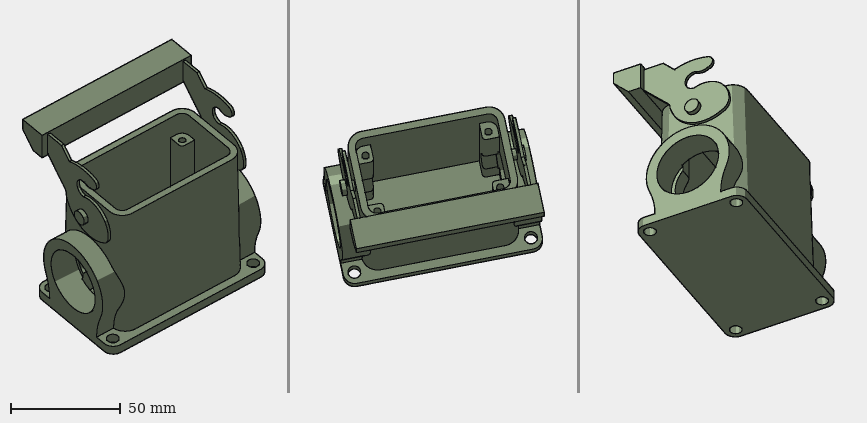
import cadquery as cq
import math

base_length = 92.5
base_width = 55.8
base_height = 4.8
base_corner_radius = 5.3
mounting_hole_diameter = 5.8
mounting_hole_x = 22.4
mounting_hole_y = 41.0

shell_length = 72.8
shell_foot_width = 47.4
shell_rim_width = 43.2
shell_height = 74.1
taper_top = 68.4
shell_corner_radius = 7.5
rim_wall = 3.4

entry_height = 26.9
entry_outer_radius = 21.5
entry_bore_radius = 16.0
entry_bore_depth = 13.9
entry_foot_half_width = 17.0

post_inner_x = 10.1
post_inner_y = 25.3
post_top = 62.0
post_corner_radius = 1.7
post_bore_radius = 14.0
screw_x = 13.6
screw_y = 28.6
screw_diameter = 3.3
screw_depth = 9.7

grip_length = 87.3
overall_width = 67.8
grip_back = base_width / 2 - overall_width
grip_front = -25.75
grip_top = 96.8
grip_bottom = 83.1
grip_chamfer = 7.7
arm_thickness = 1.5
arm_inner_y = 38.9
arm_root_bottom = 83.7
arm_root_top = 95.7
pivot_height = 63.7
pin_neck_diameter = 5.1
pin_head_diameter = 7.2
pin_head_end_y = 42.7

shoulder = (-15.8, arm_root_top)
finger_root = (-10.1, 89.9)
finger_crest = (0.6, 91.9)
finger_tip_top = (7.1, 91.0)
finger_tip = (9.7, 87.8)
finger_tip_bottom = (7.2, 84.8)
finger_underside = (3.1, 83.9)
notch_top = (0.8, 84.7)
notch_back = (-4.55, 80.15)
notch_bottom = (0.2, 75.5)
cam_shoulder = (12.6, 74.15)
cam_nose_top = (18.1, 63.4)
cam_nose = (17.2, 59.7)
cam_nose_bottom = (14.2, 57.2)
cam_belly = (-2.4, 56.2)
cam_heel = (-12.4, 68.2)
cam_heel_bend = (-12.9, 70.7)
arm_underside_end = (-14.2, 72.2)

cavity_width = shell_rim_width - 2 * rim_wall
cavity_length = shell_length - 2 * rim_wall
cavity_end_y = cavity_length / 2
sides = (-1, 1)


def make_shell_block():
    """Solid shell with sloping long sides, a straight rim band and rounded upright corners."""
    foot = shell_foot_width / 2
    rim = shell_rim_width / 2
    return (
        cq.Workplane("XZ")
        .moveTo(-foot, base_height)
        .lineTo(foot, base_height)
        .lineTo(rim, taper_top)
        .lineTo(rim, shell_height)
        .lineTo(-rim, shell_height)
        .lineTo(-rim, taper_top)
        .close()
        .extrude(shell_length / 2, both=True)
        .edges("not #Z")
        .fillet(shell_corner_radius)
    )


def make_cavity():
    """Straight-sided cavity from the base plate up through the rim."""
    return (
        cq.Workplane("XY", origin=(0, 0, base_height))
        .rect(cavity_width, cavity_length)
        .extrude(shell_height - base_height)
        .edges("|Z")
        .fillet(shell_corner_radius - rim_wall)
    )


def make_base():
    return (
        cq.Workplane("XY")
        .rect(base_width, base_length)
        .extrude(base_height)
        .edges("|Z")
        .fillet(base_corner_radius)
    )


def make_entry_boss(side):
    """Round boss whose flanks sweep down through tangent arcs to a narrower foot."""
    drop = entry_height - base_height
    foot = entry_foot_half_width
    flank_radius = (foot**2 + drop**2 - entry_outer_radius**2) / (2 * (entry_outer_radius - foot))
    tangent_angle = math.asin(drop / (entry_outer_radius + flank_radius))
    tangent_x = entry_outer_radius * math.cos(tangent_angle)
    tangent_z = entry_height - entry_outer_radius * math.sin(tangent_angle)
    middle_x = foot + flank_radius * (1 - math.cos(tangent_angle / 2))
    middle_z = base_height + flank_radius * math.sin(tangent_angle / 2)
    outline = (
        cq.Workplane("XZ", origin=(0, side * cavity_end_y, 0))
        .moveTo(-foot, 0)
        .lineTo(foot, 0)
        .lineTo(foot, base_height)
        .threePointArc((middle_x, middle_z), (tangent_x, tangent_z))
        .threePointArc((0, entry_height + entry_outer_radius), (-tangent_x, tangent_z))
        .threePointArc((-middle_x, middle_z), (-foot, base_height))
        .close()
    )
    return outline.extrude(-side * (base_length / 2 - cavity_end_y))


def make_entry_bore(side):
    """Cable entry bore running through the wall and just into the posts behind it."""
    return (
        cq.Workplane("XZ", origin=(0, side * base_length / 2, entry_height))
        .circle(entry_bore_radius)
        .extrude(side * entry_bore_depth)
    )


def make_posts(cavity):
    """Four screw posts filling the cavity corners, notched by the passing cable bore."""
    post_length = cavity_end_y - post_inner_y
    post_width = cavity_width / 2 - post_inner_x
    posts = (
        cq.Workplane("XY", origin=(0, 0, base_height))
        .pushPoints([
            (sx * (post_inner_x + post_width / 2), sy * (post_inner_y + post_length / 2))
            for sx in sides
            for sy in sides
        ])
        .rect(post_width, post_length)
        .extrude(post_top - base_height)
    )
    for sx in sides:
        for sy in sides:
            inner_edge = cq.selectors.NearestToPointSelector(
                (sx * post_inner_x, sy * post_inner_y, (base_height + post_top) / 2)
            )
            posts = posts.edges(inner_edge).fillet(post_corner_radius)
    cable_bore = (
        cq.Workplane("XZ", origin=(0, 0, entry_height))
        .circle(post_bore_radius)
        .extrude(cavity_end_y, both=True)
    )
    screw_holes = (
        cq.Workplane("XY", origin=(0, 0, post_top))
        .rect(2 * screw_x, 2 * screw_y, forConstruction=True)
        .vertices()
        .circle(screw_diameter / 2)
        .extrude(-screw_depth)
    )
    return posts.intersect(cavity).cut(cable_bore).cut(screw_holes)


def make_housing():
    cavity = make_cavity()
    body = make_base().union(make_shell_block())
    for side in sides:
        body = body.union(make_entry_boss(side))
    body = body.cut(cavity).union(make_posts(cavity))
    for side in sides:
        body = body.cut(make_entry_bore(side))
    mounting_holes = (
        cq.Workplane("XY")
        .rect(2 * mounting_hole_x, 2 * mounting_hole_y, forConstruction=True)
        .vertices()
        .circle(mounting_hole_diameter / 2)
        .extrude(base_height)
    )
    return body.cut(mounting_holes)


def make_arm(side):
    """Flat lever arm with a hooked finger, a round latch notch and a cam-shaped end."""
    outline = (
        cq.Workplane("XZ", origin=(0, side * arm_inner_y, 0))
        .moveTo(grip_front, arm_root_bottom)
        .lineTo(grip_front, arm_root_top)
        .lineTo(*shoulder)
        .lineTo(*finger_root)
        .threePointArc(finger_crest, finger_tip_top)
        .threePointArc(finger_tip, finger_tip_bottom)
        .threePointArc(finger_underside, notch_top)
        .threePointArc(notch_back, notch_bottom)
        .threePointArc(cam_shoulder, cam_nose_top)
        .threePointArc(cam_nose, cam_nose_bottom)
        .threePointArc(cam_belly, cam_heel)
        .threePointArc(cam_heel_bend, arm_underside_end)
        .close()
    )
    return outline.extrude(-side * arm_thickness)


def make_pin(side):
    """Pivot pin reaching the shell wall, with a larger head outside the arm."""
    shell_y = shell_length / 2
    neck = (
        cq.Workplane("XZ", origin=(0, side * shell_y, pivot_height))
        .circle(pin_neck_diameter / 2)
        .extrude(-side * (pin_head_end_y - shell_y))
    )
    head_start_y = arm_inner_y + arm_thickness
    head = (
        cq.Workplane("XZ", origin=(0, side * head_start_y, pivot_height))
        .circle(pin_head_diameter / 2)
        .extrude(-side * (pin_head_end_y - head_start_y))
    )
    return neck.union(head)


def make_lever():
    lever = (
        cq.Workplane("XZ")
        .moveTo(grip_back, grip_top)
        .lineTo(grip_front, grip_top)
        .lineTo(grip_front, grip_bottom)
        .lineTo(grip_back + grip_chamfer, grip_bottom)
        .lineTo(grip_back, grip_bottom + grip_chamfer)
        .close()
        .extrude(grip_length / 2, both=True)
    )
    for side in sides:
        lever = lever.union(make_arm(side)).union(make_pin(side))
    return lever


housing = make_housing()
lever = make_lever()

result = cq.Compound.makeCompound([housing.val(), lever.val()])